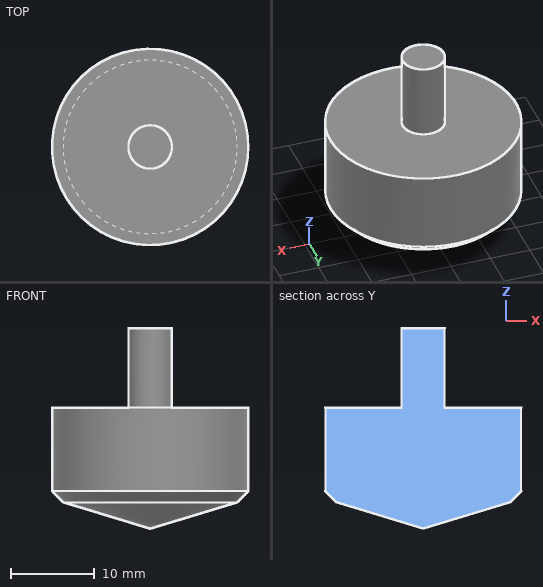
import cadquery as cq

overall_height = 24.0
body_diameter = 23.5
body_straight_height = 10.0
pin_diameter = 5.2
pin_length = 9.5
edge_chamfer = 1.35

body_radius = body_diameter / 2
pin_radius = pin_diameter / 2
cone_radius = body_radius - edge_chamfer

body_top = overall_height - pin_length
chamfer_top = body_top - body_straight_height
cone_top = chamfer_top - edge_chamfer


def turned_part():
    """Pin, cylindrical body, chamfer and conical tip turned about the Z axis."""
    half_outline = (
        cq.Workplane("XZ")
        .moveTo(0, 0)
        .lineTo(cone_radius, cone_top)
        .lineTo(body_radius, chamfer_top)
        .lineTo(body_radius, body_top)
        .lineTo(pin_radius, body_top)
        .lineTo(pin_radius, overall_height)
        .lineTo(0, overall_height)
        .close()
    )
    return half_outline.revolve(360, (0, 0, 0), (0, 1, 0))


result = turned_part()